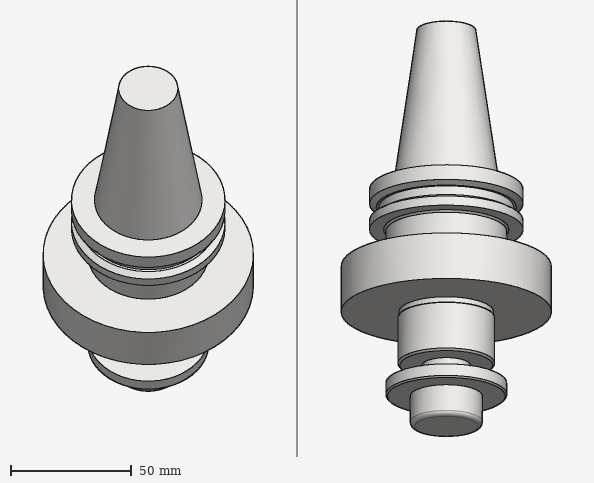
import cadquery as cq

total_height = 172.8

screw_radius = 29.9 / 2
screw_end_fillet = 1.9
washer_radius = 50.1 / 2
washer_bottom = 13.1
washer_top = 18.8
washer_chamfer = 0.7
shank_radius = 20.0 / 2

spigot_radius = 40.0 / 2
spigot_bottom = 26.6
spigot_top = 47.5
spigot_chamfer = 0.9
relief_radius = 39.2 / 2

disc_radius = 87.0 / 2
disc_bottom = 50.0
disc_top = 69.8
collar_radius = 50.1 / 2
collar_flare = 0.9

flange_radius = 63.5 / 2
flange_bottom = 85.9
flange_top = 103.5
groove_radius = 56.0 / 2
groove_bottom = 91.4
groove_top = 95.5
groove_bevel_height = 1.5
groove_bevel_width = 2.8
groove_lip_radius = flange_radius - groove_bevel_width

taper_base_radius = 44.5 / 2
taper_top_radius = 24.5 / 2


def cylinder(radius, bottom, top):
    """Solid cylinder on the Z axis between two heights."""
    return cq.Workplane("XY").workplane(offset=bottom).circle(radius).extrude(top - bottom)


def cone(bottom_radius, top_radius, bottom, top):
    """Solid cone frustum on the Z axis between two heights."""
    profile = [(0, bottom), (bottom_radius, bottom), (top_radius, top), (0, top)]
    return cq.Workplane("XZ").polyline(profile).close().revolve(360, (0, 0), (0, 1))


def clamping_screw():
    head = cylinder(screw_radius, 0, washer_bottom).faces("<Z").edges().fillet(screw_end_fillet)
    washer = cylinder(washer_radius, washer_bottom, washer_top)
    washer = washer.faces("<Z").edges().chamfer(washer_chamfer)
    shank = cylinder(shank_radius, washer_top, spigot_bottom)
    return head.union(washer).union(shank)


def spigot():
    body = cylinder(spigot_radius, spigot_bottom, spigot_top)
    body = body.faces("<Z").edges().chamfer(spigot_chamfer)
    return body.union(cylinder(relief_radius, spigot_top, disc_bottom))


def disc_and_collar():
    disc = cylinder(disc_radius, disc_bottom, disc_top)
    collar = cylinder(collar_radius, disc_top, flange_bottom)
    flare = cone(collar_radius, collar_radius + collar_flare, flange_bottom - collar_flare, flange_bottom)
    return disc.union(collar).union(flare)


def flange():
    lower_bevel_start = groove_bottom - groove_bevel_height
    upper_bevel_end = groove_top + groove_bevel_height
    lower_rim = cylinder(flange_radius, flange_bottom, lower_bevel_start)
    lower_bevel = cone(flange_radius, groove_lip_radius, lower_bevel_start, groove_bottom)
    core = cylinder(groove_radius, groove_bottom, groove_top)
    upper_bevel = cone(groove_lip_radius, flange_radius, groove_top, upper_bevel_end)
    upper_rim = cylinder(flange_radius, upper_bevel_end, flange_top)
    return lower_rim.union(lower_bevel).union(core).union(upper_bevel).union(upper_rim)


def taper():
    return cone(taper_base_radius, taper_top_radius, flange_top, total_height)


result = clamping_screw().union(spigot()).union(disc_and_collar()).union(flange()).union(taper())